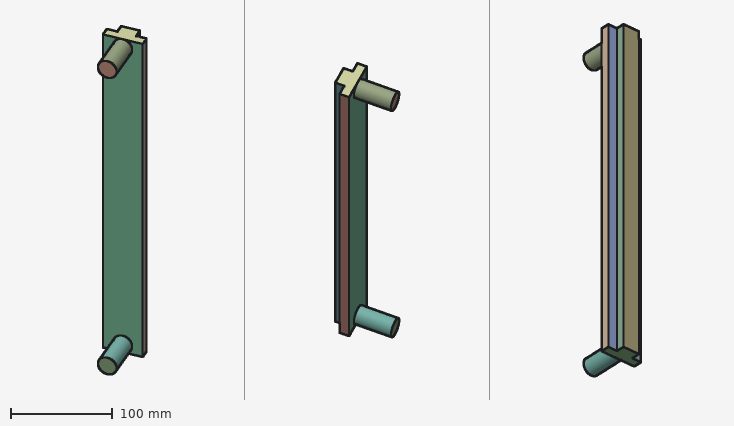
import cadquery as cq

length = 378.0
plate_width = 42.5
plate_thickness = 10.2
rib_width = 20.0
rib_height = 10.0
pin_diameter = 20.0
pin_length = 40.0

pin_offset = (length - pin_diameter) / 2


def bar(width, depth, y_start):
    """Full-length bar whose front face lies at y_start."""
    return cq.Workplane("XY").box(width, depth, length, centered=(True, False, True)).translate((0, y_start, 0))


def pins():
    """Round pins flush with both ends of the plate, pointing toward -Y."""
    return (
        cq.Workplane("XZ")
        .pushPoints([(0, -pin_offset), (0, pin_offset)])
        .circle(pin_diameter / 2)
        .extrude(pin_length)
    )


plate = bar(plate_width, plate_thickness, 0)
rib = bar(rib_width, rib_height, plate_thickness)
result = plate.union(rib).union(pins())